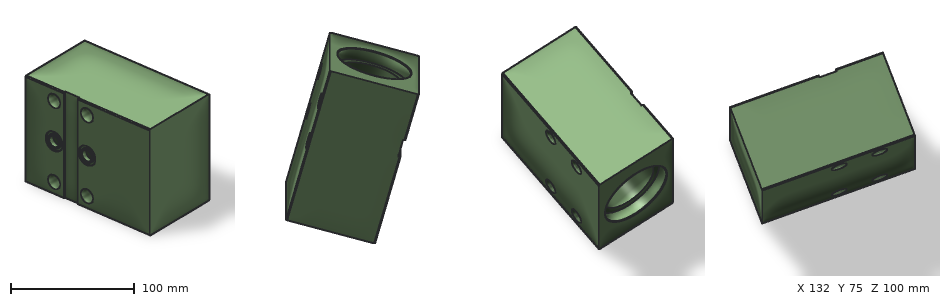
import cadquery as cq

length = 132.0
depth = 75.0
height = 100.0
edge_chamfer = 1.0

bore_diameter = 50.0
side_wall = (depth - bore_diameter) / 2
bore_end = length - side_wall
mouth_diameter = 61.5
mouth_depth = 10.0
mouth_chamfer = 0.7

slot_width = 14.9
slot_depth = 2.0
slot_start = 40.5
slot_center = slot_start + slot_width / 2

column_pitch = 35.0
columns = [slot_center - column_pitch / 2, slot_center + column_pitch / 2]
hole_diameter = 13.0
hole_row_pitch = 76.0

port_diameter = 10.0
port_depth = 5.0
seal_inner_diameter = 13.0
seal_outer_diameter = 18.0
seal_depth = 1.5


def make_block():
    """Block with one corner at the -X, -Y end, centred in Z, long edges chamfered."""
    block = cq.Workplane("XY").box(length, depth, height, centered=(False, False, True))
    return block.edges("|X").chamfer(edge_chamfer)


def cylinder_along_y(x, z, diameter, reach):
    """Cylinder running in from the front face."""
    return cq.Workplane("XZ").center(x, z).circle(diameter / 2).extrude(-reach)


def make_bore():
    """Bore revolved about its axis, with a wider chamfered mouth."""
    profile = [
        (0, 0),
        (0, mouth_diameter / 2 + mouth_chamfer),
        (mouth_chamfer, mouth_diameter / 2),
        (mouth_depth, mouth_diameter / 2),
        (mouth_depth, bore_diameter / 2),
        (bore_end, bore_diameter / 2),
        (bore_end, 0),
    ]
    solid = cq.Workplane("XY").polyline(profile).close().revolve(360, (0, 0), (1, 0))
    return solid.translate((0, depth / 2, 0))


def make_slot():
    """Shallow key slot over the full height of the front face."""
    return (
        cq.Workplane("XY")
        .box(slot_width, slot_depth, height, centered=(True, False, True))
        .translate((slot_center, 0, 0))
    )


def make_port(x):
    """Flat-bottomed drilling with a seal groove around it."""
    seal_ring = cylinder_along_y(x, 0, seal_outer_diameter, seal_depth).cut(
        cylinder_along_y(x, 0, seal_inner_diameter, seal_depth)
    )
    return cylinder_along_y(x, 0, port_diameter, port_depth).union(seal_ring)


result = make_block().cut(make_bore()).cut(make_slot())
for column in columns:
    result = result.cut(make_port(column))
    for row in (-hole_row_pitch / 2, hole_row_pitch / 2):
        result = result.cut(cylinder_along_y(column, row, hole_diameter, depth))